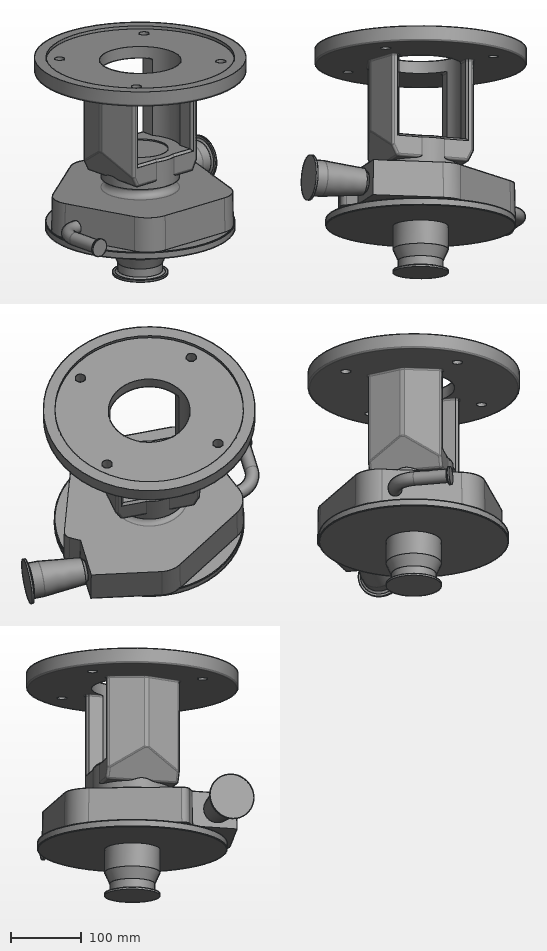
import cadquery as cq
import math


FLANGE_DIAMETER = 300.0
FLANGE_THICKNESS = 22.0
RECESS_RADIUS = 133.5
RECESS_DEPTH = 4.5
BORE_RADIUS = 58.0
BOLT_SPACING = 161.5
BOLT_HOLE_DIAMETER = 14.5

YOKE_HALF_WIDTH = 53.0
YOKE_RIDGE = 76.0
YOKE_SHOULDER = 60.5
YOKE_BOTTOM = -169.8
RIDGE_HALF_WIDTH = 3.5
SLOPE_TOP = -125.3
SLOPE_ANGLE = 27
WINDOW_HALF_WIDTH = 50.0
WINDOW_BEVEL = 3.5
YOKE_EDGE_ROUND = 3.7
YOKE_TOP_FILLET = 2.2

HUB_RADIUS = 55.5
HUB_TOP = -136.8
HUB_BOTTOM = -179.5
NECK_RADIUS = 45.2
NECK_FLARE = 10.5
SEAT_RADIUS = 39.5
SEAT_DEPTH = 2.0

CASING_TOP = -195.0
CASING_BOTTOM = -246.0
CASING_INRADIUS = 115.5
CASING_ROUND = 37
CASING_TIGHT_ROUND = 11
CASING_DRAFT = 1
FIRST_FACE_ANGLE = 144
CHUTE_END_Y = 114.5
CHUTE_OUTER_X = -122.5
CHUTE_INNER_X = -57.0
CHUTE_TAPER = 10

PLATE_RADIUS = 134.5
PLATE_BOTTOM = -257.0
PLATE_CHAMFER = 1.0
INLET_RADIUS = 39.3
INLET_NECK_RADIUS = 32.0
INLET_CONE_TOP = -290.5
INLET_CONE_BOTTOM = -307.0
INLET_END = -324.5

NOZZLE_X = -91.2
NOZZLE_Z = -221.0
NOZZLE_END = 200
NOZZLE_RADIUS = 25.5
NOZZLE_ROOT_RADIUS = 19.3
NOZZLE_CONE_END = 180.0
NOZZLE_CONE_START = 119.0
NOZZLE_RIM_RADIUS = 32.3
NOZZLE_OVERLAP = 3.7

DRAIN_Z = -226.5
DRAIN_RADIUS = 9.5
DRAIN_BEND = 35.5
DRAIN_Y = -157.5
DRAIN_END = 88.2
DRAIN_RIM_RADIUS = 13.0

RIM_THICKNESS = 3.0
RIM_TAPER = 2.2


def cylinder(radius, bottom, top):
    return cq.Workplane("XY").workplane(offset=bottom).circle(radius).extrude(top - bottom)


def revolved(profile):
    """Turn a closed (radius, height) profile about the Z axis."""
    return cq.Workplane("XZ").polyline(profile).close().revolve(360, (0, 0), (0, 1))


def rim_profile(pipe_radius, rim_radius, end):
    """Profile points of a pipe end, from the pipe wall to the axis; the end is the highest point."""
    return [
        (pipe_radius, end - RIM_THICKNESS - RIM_TAPER),
        ((pipe_radius + rim_radius) / 2, end - RIM_THICKNESS),
        (rim_radius, end - RIM_THICKNESS),
        (rim_radius, end),
        (0, end),
    ]


def mounting_flange():
    flange = cylinder(FLANGE_DIAMETER / 2, -FLANGE_THICKNESS, 0)
    flange = flange.cut(cylinder(RECESS_RADIUS, -RECESS_DEPTH, 0))
    return (
        flange.faces("<Z").workplane()
        .rect(BOLT_SPACING, BOLT_SPACING, forConstruction=True)
        .vertices().hole(BOLT_HOLE_DIAMETER)
    )


def yoke_and_hub():
    outline = [
        (YOKE_HALF_WIDTH, -YOKE_SHOULDER),
        (YOKE_HALF_WIDTH, YOKE_SHOULDER),
        (RIDGE_HALF_WIDTH, YOKE_RIDGE),
        (-RIDGE_HALF_WIDTH, YOKE_RIDGE),
        (-YOKE_HALF_WIDTH, YOKE_SHOULDER),
        (-YOKE_HALF_WIDTH, -YOKE_SHOULDER),
        (-RIDGE_HALF_WIDTH, -YOKE_RIDGE),
        (RIDGE_HALF_WIDTH, -YOKE_RIDGE),
    ]
    prism = (
        cq.Workplane("XY").workplane(offset=YOKE_BOTTOM)
        .polyline(outline).close().extrude(-FLANGE_THICKNESS - YOKE_BOTTOM)
    )
    foot = YOKE_RIDGE - (SLOPE_TOP - YOKE_BOTTOM) * math.tan(math.radians(SLOPE_ANGLE))
    half_side = [(YOKE_RIDGE, -FLANGE_THICKNESS), (YOKE_RIDGE, SLOPE_TOP), (foot, YOKE_BOTTOM)]
    mirrored_side = [(-y, z) for y, z in reversed(half_side)]
    envelope = (
        cq.Workplane("YZ").polyline(half_side + mirrored_side).close()
        .extrude(YOKE_HALF_WIDTH, both=True)
    )
    yoke = prism.intersect(envelope)
    below_flange = cq.selectors.BoxSelector(
        (-2 * YOKE_RIDGE, -2 * YOKE_RIDGE, YOKE_BOTTOM - 3.7),
        (2 * YOKE_RIDGE, 2 * YOKE_RIDGE, -FLANGE_THICKNESS - 3.7),
    )
    ridge_sides = cq.selectors.BoxSelector(
        (-RIDGE_HALF_WIDTH - 0.5, -2 * YOKE_RIDGE, SLOPE_TOP + 3.7),
        (RIDGE_HALF_WIDTH + 0.5, 2 * YOKE_RIDGE, 0),
    )
    yoke = yoke.edges(below_flange - ridge_sides).fillet(YOKE_EDGE_ROUND)
    body = yoke.union(cylinder(HUB_RADIUS, HUB_BOTTOM, HUB_TOP))
    window_height = -FLANGE_THICKNESS - HUB_TOP
    window = (
        cq.Workplane("XY").workplane(offset=HUB_TOP)
        .rect(4 * HUB_RADIUS, 2 * WINDOW_HALF_WIDTH).extrude(window_height)
    )
    body = body.cut(window)
    rim = cq.selectors.BoxSelector(
        (-2 * HUB_RADIUS, -WINDOW_HALF_WIDTH - 0.5, HUB_TOP - 0.5),
        (2 * HUB_RADIUS, WINDOW_HALF_WIDTH + 0.5, -FLANGE_THICKNESS - 3.7),
        boundingbox=False,
    )
    inner_edges = cq.selectors.BoxSelector(
        (-YOKE_HALF_WIDTH + 0.5, -2 * YOKE_RIDGE, HUB_BOTTOM),
        (YOKE_HALF_WIDTH - 0.5, 2 * YOKE_RIDGE, 0),
    )
    body = body.edges(rim - inner_edges).chamfer(WINDOW_BEVEL)
    return body


def neck():
    flare_radius = NECK_RADIUS + NECK_FLARE
    flare_top = CASING_TOP + NECK_FLARE
    middle = NECK_FLARE * (1 - math.sqrt(0.5))
    return (
        cq.Workplane("XZ")
        .moveTo(0, HUB_BOTTOM)
        .lineTo(NECK_RADIUS, HUB_BOTTOM)
        .lineTo(NECK_RADIUS, flare_top)
        .threePointArc((NECK_RADIUS + middle, CASING_TOP + middle), (flare_radius, CASING_TOP))
        .lineTo(0, CASING_TOP)
        .close()
        .revolve(360, (0, 0), (0, 1))
    )


def casing():
    corner_radius = CASING_INRADIUS / math.cos(math.pi / 5)

    def corner(index):
        angle = math.radians(FIRST_FACE_ANGLE + 36 + 72 * index)
        return (corner_radius * math.cos(angle), corner_radius * math.sin(angle))

    face_angle = math.radians(FIRST_FACE_ANGLE + 72)
    slope = math.tan(math.radians(CHUTE_TAPER))
    wall_x_at_zero = CHUTE_OUTER_X - slope * CHUTE_END_Y
    toe_y = (CASING_INRADIUS - wall_x_at_zero * math.cos(face_angle)) / (
        slope * math.cos(face_angle) + math.sin(face_angle)
    )
    toe = (wall_x_at_zero + slope * toe_y, toe_y)
    outline = [
        toe,
        corner(1),
        corner(2),
        corner(3),
        corner(4),
        (CHUTE_INNER_X, CHUTE_END_Y),
        (CHUTE_OUTER_X, CHUTE_END_Y),
    ]
    body = (
        cq.Workplane("XY").workplane(offset=CASING_BOTTOM)
        .polyline(outline).close().extrude(CASING_TOP - CASING_BOTTOM, taper=CASING_DRAFT)
    )
    middle_z = (CASING_TOP + CASING_BOTTOM) / 2

    def upright_edge(point):
        return cq.selectors.NearestToPointSelector((*point, middle_z))

    for point in (toe, corner(1), corner(2), corner(3)):
        body = body.edges(upright_edge(point)).fillet(CASING_ROUND)
    return body.edges(upright_edge(corner(4))).fillet(CASING_TIGHT_ROUND)


def base_plate():
    return cylinder(PLATE_RADIUS, PLATE_BOTTOM, CASING_BOTTOM).edges().chamfer(PLATE_CHAMFER)


def inlet_pipe():
    depth_profile = [
        (0, -PLATE_BOTTOM),
        (INLET_RADIUS, -PLATE_BOTTOM),
        (INLET_RADIUS, -INLET_CONE_TOP),
        (INLET_NECK_RADIUS, -INLET_CONE_BOTTOM),
    ] + rim_profile(INLET_NECK_RADIUS, INLET_RADIUS, -INLET_END)
    return revolved([(radius, -depth) for radius, depth in depth_profile])


def discharge_nozzle():
    foot_radius = NOZZLE_ROOT_RADIUS - (NOZZLE_CONE_START - CHUTE_END_Y)
    inner_end = CHUTE_END_Y - NOZZLE_OVERLAP
    profile = [
        (0, inner_end),
        (foot_radius, inner_end),
        (foot_radius, CHUTE_END_Y),
        (NOZZLE_ROOT_RADIUS, NOZZLE_CONE_START),
        (NOZZLE_RADIUS, NOZZLE_CONE_END),
    ] + rim_profile(NOZZLE_RADIUS, NOZZLE_RIM_RADIUS, NOZZLE_END)
    along_y = revolved(profile).rotate((0, 0, 0), (1, 0, 0), -90)
    return along_y.translate((NOZZLE_X, 0, NOZZLE_Z))


def drain_pipe():
    bend_start_y = DRAIN_Y + DRAIN_BEND
    elbow = (
        cq.Workplane("XZ", origin=(0, bend_start_y, DRAIN_Z)).circle(DRAIN_RADIUS)
        .revolve(90, (DRAIN_BEND, 0), (DRAIN_BEND, 1))
    )
    profile = [(0, DRAIN_BEND), (DRAIN_RADIUS, DRAIN_BEND)]
    profile += rim_profile(DRAIN_RADIUS, DRAIN_RIM_RADIUS, DRAIN_END)
    straight = revolved(profile).rotate((0, 0, 0), (0, 1, 0), 90)
    return elbow.union(straight.translate((0, DRAIN_Y, DRAIN_Z)))


result = mounting_flange().union(yoke_and_hub())
yoke_top = cq.selectors.BoxSelector(
    (-YOKE_HALF_WIDTH - 3.7, -YOKE_RIDGE - 3.7, -FLANGE_THICKNESS - 0.5),
    (YOKE_HALF_WIDTH + 3.7, YOKE_RIDGE + 3.7, -FLANGE_THICKNESS + 0.5),
)
result = result.edges(yoke_top).fillet(YOKE_TOP_FILLET)
result = result.cut(cylinder(BORE_RADIUS, HUB_TOP, 0))
result = result.cut(cylinder(SEAT_RADIUS, HUB_TOP - SEAT_DEPTH, HUB_TOP))
for section in (neck(), casing(), base_plate()):
    result = result.union(section)
for pipe in (inlet_pipe(), discharge_nozzle(), drain_pipe()):
    result = result.union(pipe)